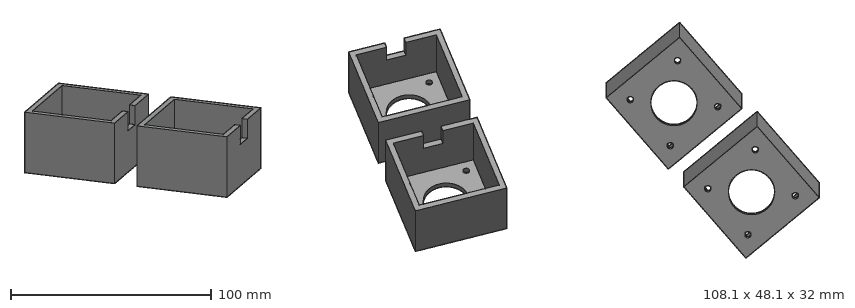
import cadquery as cq

total_length = 108.1
box_side = 48.1
box_height = 32.0
wall = 3.0
box_pitch = total_length - box_side

center_hole_diameter = 23.0
screw_hole_diameter = 3.1
screw_spacing = 31.0

notch_width = 10.0
notch_depth = 10.0


def make_box(center_x):
    """Open-topped square box with a drilled floor and one notched wall."""
    inner_side = box_side - 2 * wall
    box = cq.Workplane("XY").box(box_side, box_side, box_height, centered=(True, True, False))

    cavity = (
        cq.Workplane("XY", origin=(0, 0, wall))
        .rect(inner_side, inner_side)
        .extrude(box_height - wall)
    )
    box = box.cut(cavity)

    center_hole = cq.Workplane("XY").circle(center_hole_diameter / 2).extrude(wall)
    screw_holes = (
        cq.Workplane("XY")
        .rect(screw_spacing, screw_spacing, forConstruction=True)
        .vertices()
        .circle(screw_hole_diameter / 2)
        .extrude(wall)
    )
    box = box.cut(center_hole).cut(screw_holes)

    notch = (
        cq.Workplane("XY", origin=((box_side - wall) / 2, 0, box_height - notch_depth))
        .rect(wall, notch_width)
        .extrude(notch_depth)
    )
    return box.cut(notch).translate((center_x, 0, 0))


boxes = [make_box(center_x) for center_x in (-box_pitch / 2, box_pitch / 2)]

result = cq.Compound.makeCompound([box.solids().val() for box in boxes])